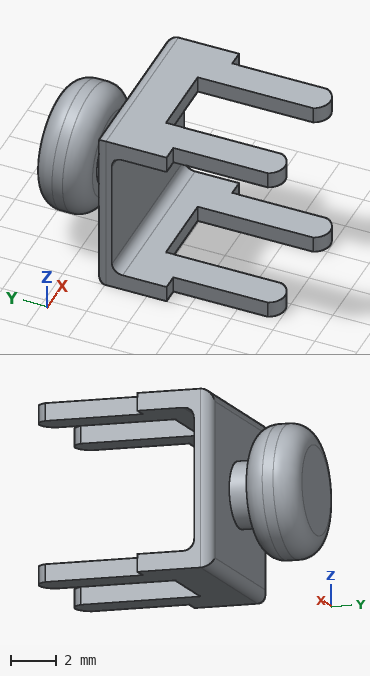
import cadquery as cq

width = 8.0
height = 8.0
total_depth = 11.9
wall = 0.8
bend_radius = 0.5

knob_radius = 3.0
knob_length = 2.5
knob_fillet = 1.0
neck_radius = 1.5
neck_length = 1.0

shoulder_depth = 3.4
notch_depth = 2.4
leg_width = 1.5
leg_spacing = 5.0
tip_rise = 0.5

bracket_depth = total_depth - knob_length - neck_length
tip_y = -bracket_depth
arc_start_y = tip_y + tip_rise
notch_width = leg_spacing - leg_width


def make_channel():
    """U-shaped channel with rounded inside bends and back rim."""
    block = cq.Workplane("XY").box(width, bracket_depth, height).translate((0, -bracket_depth / 2, 0))
    block = block.faces(">Y").edges().fillet(bend_radius)
    opening = (
        cq.Workplane("XY")
        .box(width, bracket_depth, height - 2 * wall)
        .translate((0, -bracket_depth / 2 - wall, 0))
        .faces(">Y")
        .edges("|X")
        .fillet(bend_radius)
    )
    return block.cut(opening)


def extrude_full_height(sketch):
    return sketch.extrude(height / 2, both=True)


def make_leg(center_x):
    """Leg profile with an arced tip, running from the back face."""
    left = center_x - leg_width / 2
    right = center_x + leg_width / 2
    return extrude_full_height(
        cq.Workplane("XY")
        .moveTo(left, 0)
        .lineTo(left, arc_start_y)
        .threePointArc((center_x, tip_y), (right, arc_start_y))
        .lineTo(right, 0)
        .close()
    )


def make_flange_outline():
    """Plan outline of the bracket: full-width body, notch and two legs."""
    body = extrude_full_height(cq.Workplane("XY").center(0, -shoulder_depth / 2).rect(width, shoulder_depth))
    notch_length = bracket_depth - notch_depth
    notch_center_y = -notch_depth - notch_length / 2
    notch = extrude_full_height(cq.Workplane("XY").center(0, notch_center_y).rect(notch_width, notch_length))
    outline = body.cut(notch)
    for side in (-1, 1):
        outline = outline.union(make_leg(side * leg_spacing / 2))
    return outline


def make_knob():
    """Neck and rounded knob on the back face, along +Y."""
    back_plane = cq.Workplane("XZ", origin=(0, -wall / 2, 0))
    neck = back_plane.circle(neck_radius).extrude(-(neck_length + wall / 2))
    head = (
        cq.Workplane("XZ", origin=(0, neck_length, 0))
        .circle(knob_radius)
        .extrude(-knob_length)
        .edges()
        .fillet(knob_fillet)
    )
    return neck.union(head)


bracket = make_channel().intersect(make_flange_outline())
result = bracket.union(make_knob())